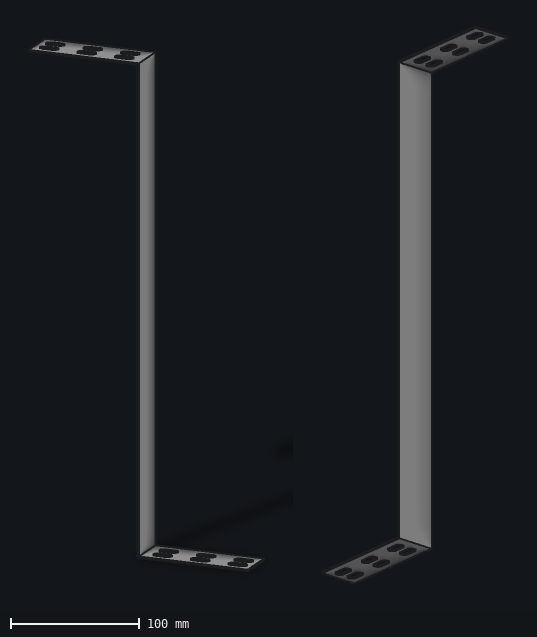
import cadquery as cq

height = 401.5
length = 185.0
width = 33.0
thickness = 1.5

slot_length = 15.3
slot_width = 7.2
slots_per_row = 3
slot_pitch = 31.7
row_pitch = 12.0
end_to_slot = 13.0
row_shift = 0.25

half_length = length / 2
half_height = height / 2
half_thickness = thickness / 2


def strip_body():
    """Z profile extruded across the strip width, centred on the origin."""
    profile = [
        (-half_length, half_height),
        (half_thickness, half_height),
        (half_thickness, -half_height + thickness),
        (half_length, -half_height + thickness),
        (half_length, -half_height),
        (-half_thickness, -half_height),
        (-half_thickness, half_height - thickness),
        (-half_length, half_height - thickness),
    ]
    return cq.Workplane("XZ").polyline(profile).close().extrude(width / 2, both=True)


def flange_slots(side):
    """Slot cutters for one flange: side -1 is the upper left, +1 the lower right."""
    centres = [
        (side * (half_length - end_to_slot - i * slot_pitch), -side * row_shift + row * row_pitch / 2)
        for i in range(slots_per_row)
        for row in (-1, 1)
    ]
    flange_middle = -side * (half_height - half_thickness)
    return (
        cq.Workplane("XY", origin=(0, 0, flange_middle))
        .pushPoints(centres)
        .slot2D(slot_length, slot_width)
        .extrude(thickness, both=True)
    )


result = strip_body()
for side in (-1, 1):
    result = result.cut(flange_slots(side))